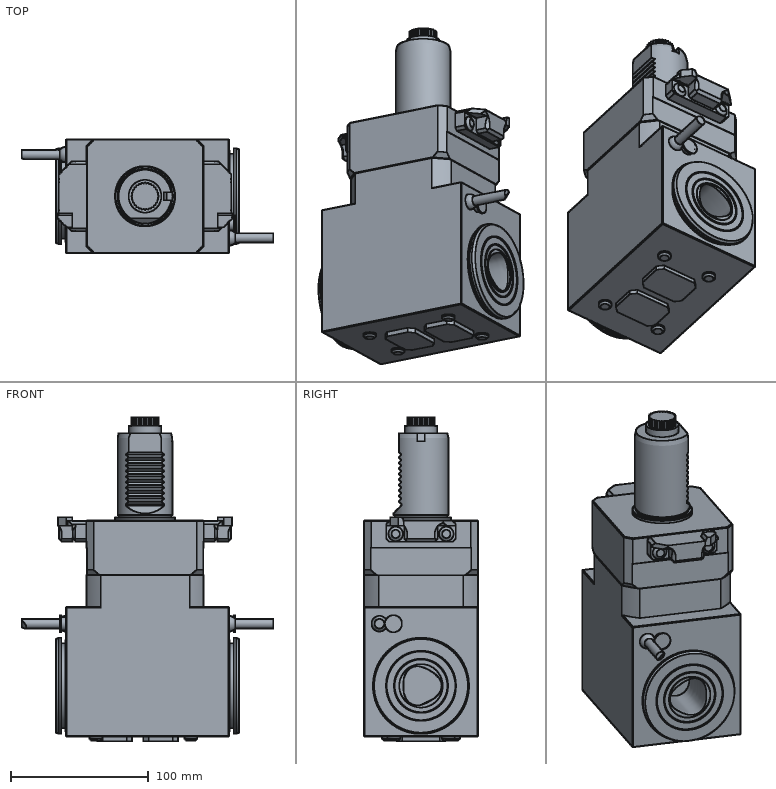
import math
import cadquery as cq


depth = 83.0
body_length = 118.8
body_center_x = 1.8
body_top = -62.9
body_bottom = -157.2
edge_break = 0.6
overlap = 1.2

head_length = 85.2
head_height = 40.0
head_corner = 5.2
head_foot_corner = 9.8
head_foot_break = 0.5
head_foot_height = 4.0
head_relief = 0.3
head_relief_top = -20.0
neck_turned_radius = 52.6

shank_dia = 40.0
shank_top = 63.4
shank_chamfer = (0.8, 3.6)
shank_foot_chamfer = 0.5
flange_dia = 43.9
flange_height = 2.4
undercut_dia = 38.4
undercut_top = 3.6
flat_y = -16.1
tooth_count = 10
tooth_pitch = 4.0
tooth_depth = 1.8
lowest_valley_z = 11.7
runout_top = 10.7
key_width = 5.6
key_floor_x = 15.6
key_ramp = 1.9
key_depth = 6.0

collar_dia = 23.8
collar_top = 68.6
spline_dia = 20.0
spline_root_dia = 18.6
spline_teeth = 28
spline_top = 75.0

spindle_z = -120.2
spindle_neck_dia = 62.0
spindle_neck_length = 3.1
spindle_rim_dia = 70.0
spindle_face_dia = 68.0
spindle_rim_length = 1.8
spindle_length = 7.2
spindle_step = 0.5
spindle_step_dia = 66.0
ring_groove_dias = (51.0, 39.4)
ring_groove_width = 0.6
ring_groove_depth = 0.5
mouth_dia = 31.6
mouth_depth = 0.6
socket_radius = 13.9
socket_lobe_count = 3
socket_lobe = 1.05
socket_depth = 40.0
socket_curve_spans = 60

pipe_span = 183.0
pipe_dia = 7.0
pipe_y = 30.2
pipe_z = -75.1
boss_radius = 5.7
plug_y = 20.0
plug_dia = 12.4
plug_stem_dia = 9.5
plug_height = 4.4
plug_rim = 1.0

clamp_top = -0.5
clamp_bottom = -15.5
clamp_half_width = 25.3
clamp_end_x = 62.5
clamp_chamfer = 2.2
clamp_corner = 7.0
slot_start_x = 50.5
slot_end_x = 52.5
slot_roof_z = -3.2
pocket_y = 12.2
pocket_roof_z = -4.1
screw_y = 18.4
screw_z = -9.9
screw_dia = 10.5
screw_tip_dia = 6.0
lug_start_x = 52.8
lug_end_x = 63.2
lug_near_y = -12.4
lug_far_y = -22.4
lug_corner = 6.0
lug_top = 2.4
lug_slope = 1.4

overall_height = 235.6
foot_height = overall_height - spline_top + body_bottom
foot_size = (25.4, 35.0)
foot_centers_x = (-22.0, 11.3)
foot_corner = 4.0
head_screw_dia = 9.5
head_screw_height = 2.8
head_screw_chamfer = 1.5
head_screw_places = ((-35.7, 23.6), (33.3, 19.8))


def block(x0, x1, y0, y1, z0, z1):
    """Box given by its limits along each axis."""
    return cq.Workplane("XY").box(x1 - x0, y1 - y0, z1 - z0, centered=False).translate((x0, y0, z0))


def disc(dia, z0, z1):
    """Cylinder on the shank axis."""
    return cq.Workplane("XY").workplane(offset=z0).circle(dia / 2).extrude(z1 - z0)


def clipped_rectangle(workplane, length, width, clip):
    """Rectangle with its four corners cut at 45 degrees."""
    a = length / 2
    b = width / 2
    return workplane.polyline([
        (a - clip, -b), (a, -b + clip), (a, b - clip), (a - clip, b),
        (-a + clip, b), (-a, b - clip), (-a, -b + clip), (-a + clip, -b),
    ]).close()


def turned(profile):
    """Solid of revolution about X from (distance along X, radius) points."""
    points = [(profile[0][0], 0)] + profile + [(profile[-1][0], 0)]
    return cq.Workplane("XY").polyline(points).close().revolve(360, (0, 0, 0), (1, 0, 0))


def half_turn(solid):
    """Copy turned half a revolution about the vertical centre line of the housing."""
    return solid.rotate((body_center_x, 0, 0), (body_center_x, 0, 1), 180)


def make_housing():
    body = block(
        body_center_x - body_length / 2, body_center_x + body_length / 2,
        -depth / 2, depth / 2, body_bottom, body_top,
    ).edges().chamfer(edge_break)
    neck_bottom = body_top - overlap
    neck = block(-head_length / 2, head_length / 2, -depth / 2, depth / 2, neck_bottom, -head_height)
    neck = neck.intersect(disc(2 * neck_turned_radius, neck_bottom, -head_height))
    return body.union(neck)


def make_head():
    foot_top = head_foot_height - head_height
    upper = clipped_rectangle(
        cq.Workplane("XY").workplane(offset=foot_top), head_length, depth, head_corner,
    ).extrude(-foot_top)
    upper = upper.faces(">Z").edges().chamfer(edge_break)
    foot = clipped_rectangle(
        cq.Workplane("XY").workplane(offset=-head_height), head_length, depth, head_foot_corner,
    )
    foot = clipped_rectangle(
        foot.workplane(offset=head_foot_height), head_length, depth, head_corner,
    ).loft(ruled=True)
    foot = foot.faces("<Z").edges().chamfer(head_foot_break)
    head = upper.union(foot)
    side = head_length / 2
    for x0 in (-side, side - head_relief):
        head = head.cut(block(x0, x0 + head_relief, -depth / 2, depth / 2, -head_height, head_relief_top))
    return head


def make_shank():
    radius = shank_dia / 2
    inset, drop = shank_chamfer
    shank = disc(shank_dia, undercut_top, shank_top)
    shank = shank.faces(">Z").chamfer(drop, inset)
    shank = shank.faces("<Z").chamfer(shank_foot_chamfer)

    valley_y = flat_y + tooth_depth
    clear_y = -radius - overlap
    outline = [(clear_y, shank_top), (flat_y, shank_top)]
    for i in reversed(range(tooth_count)):
        valley_z = lowest_valley_z + i * tooth_pitch
        outline.append((flat_y, valley_z + tooth_depth))
        outline.append((valley_y, valley_z))
        if i > 0:
            outline.append((flat_y, valley_z - tooth_depth))
    outline.append((valley_y, runout_top))
    outline.append((clear_y, runout_top + clear_y - valley_y))
    flat = cq.Workplane("YZ").polyline(outline).close().extrude(radius, both=True)
    shank = shank.cut(flat)

    keyway = cq.Workplane("XZ").polyline([
        (key_floor_x - key_ramp, shank_top),
        (key_floor_x, shank_top - key_depth),
        (radius, shank_top - key_depth),
        (radius, shank_top),
    ]).close().extrude(key_width / 2, both=True)
    shank = shank.cut(keyway)

    flange = disc(flange_dia, 0, flange_height).faces(">Z").edges().chamfer(edge_break)
    return shank.union(disc(undercut_dia, 0, undercut_top)).union(flange)


def make_spline():
    points = []
    for i in range(2 * spline_teeth):
        radius = (spline_dia if i % 2 == 0 else spline_root_dia) / 2
        angle = math.pi * i / spline_teeth
        points.append((radius * math.cos(angle), radius * math.sin(angle)))
    spline = cq.Workplane("XY").workplane(offset=collar_top).polyline(points).close()
    spline = spline.extrude(spline_top - collar_top)
    return disc(collar_dia, shank_top, collar_top).union(spline)


def socket_point(t):
    """Point on the lobed outline of the tool socket, with one lobe along +Y."""
    angle = 2 * math.pi * t
    radius = socket_radius + socket_lobe * math.cos(socket_lobe_count * angle)
    return radius * math.cos(angle), radius * math.sin(angle)


def make_spindle():
    """Spindle nose and its socket, as they lie on the +X side of the housing."""
    face_x = body_center_x + body_length / 2
    rim_start = spindle_neck_length
    rim_end = rim_start + spindle_rim_length
    nose = turned([
        (-overlap, spindle_step_dia / 2),
        (spindle_step, spindle_step_dia / 2),
        (spindle_step, spindle_neck_dia / 2),
        (rim_start, spindle_neck_dia / 2),
        (rim_start, spindle_rim_dia / 2),
        (rim_end, spindle_rim_dia / 2),
        (spindle_length, spindle_face_dia / 2),
    ])
    face = cq.Workplane("YZ").workplane(offset=spindle_length)
    for dia in ring_groove_dias:
        inner_radius = dia / 2 - ring_groove_width
        nose = nose.cut(face.circle(dia / 2).circle(inner_radius).extrude(-ring_groove_depth))
    nose = nose.cut(face.circle(mouth_dia / 2).extrude(-mouth_depth))
    outline = face.parametricCurve(lambda t: socket_point(t) + (0,), N=socket_curve_spans)
    socket = outline.extrude(-socket_depth)
    place = (face_x, 0, spindle_z)
    return nose.translate(place), socket.translate(place)


def make_pipe():
    """Coolant pipe with its ball boss and the neighbouring plug on the +X side."""
    face_x = body_center_x + body_length / 2
    boss = cq.Workplane("XY").sphere(boss_radius)
    pipe_length = pipe_span / 2 - body_length / 2
    pipe = turned([(0, pipe_dia / 2), (pipe_length, pipe_dia / 2)])
    plug = turned([
        (-overlap, plug_stem_dia / 2),
        (plug_height - plug_rim, plug_stem_dia / 2),
        (plug_height - plug_rim, plug_dia / 2),
        (plug_height, plug_dia / 2),
    ])
    fitting = boss.union(pipe).translate((face_x, -pipe_y, pipe_z))
    return fitting.union(plug.translate((face_x, -plug_y, pipe_z)))


def bevel_pipe_end(solid):
    """Cut the lower front half of the pipe tip on the -X side at a slant."""
    tip = (body_center_x - pipe_span / 2, pipe_y, pipe_z)
    slant = cq.Plane(origin=tip, xDir=(0, 1, -1), normal=(-math.sqrt(2), -1, -1))
    return solid.cut(cq.Workplane(slant).rect(2 * pipe_dia, 2 * pipe_dia).extrude(pipe_dia))


def make_clamp():
    """Clamp block on the +X side of the head, with two screws and a raised lug."""
    width = 2 * clamp_half_width
    height = clamp_top - clamp_bottom
    start_x = head_length / 2 - overlap
    flare_start_x = clamp_end_x - clamp_chamfer
    clamp = clipped_rectangle(
        cq.Workplane("YZ", origin=(start_x, 0, (clamp_top + clamp_bottom) / 2)),
        width, height, clamp_chamfer,
    ).extrude(clamp_end_x - start_x)
    clamp = clamp.faces(">X").edges("<Z").chamfer(clamp_chamfer)

    outline = [
        (start_x, -clamp_half_width),
        (clamp_end_x - clamp_corner - clamp_chamfer, -clamp_half_width),
        (clamp_end_x, -clamp_half_width + clamp_corner + clamp_chamfer),
    ]
    outline += [(x, -y) for x, y in reversed(outline)]
    clamp = clamp.intersect(
        cq.Workplane("XY").workplane(offset=clamp_bottom).polyline(outline).close().extrude(height)
    )
    clamp = clamp.cut(
        block(slot_start_x, slot_end_x, -clamp_half_width, clamp_half_width, clamp_bottom, slot_roof_z)
    )

    for side in (-1, 1):
        pocket = cq.Workplane("YZ").workplane(offset=slot_end_x).polyline([
            (side * clamp_half_width, clamp_bottom),
            (side * (pocket_y - clamp_chamfer), clamp_bottom),
            (side * pocket_y, clamp_bottom + clamp_chamfer),
            (side * pocket_y, pocket_roof_z),
            (side * clamp_half_width, pocket_roof_z),
        ]).close().extrude(clamp_end_x - slot_end_x)
        clamp = clamp.cut(pocket)
        flare = cq.Workplane("XY").workplane(offset=clamp_bottom).polyline([
            (flare_start_x, side * pocket_y),
            (clamp_end_x, side * (pocket_y - clamp_chamfer)),
            (clamp_end_x, side * pocket_y),
        ]).close().extrude(screw_z - clamp_bottom)
        cone = turned([
            (flare_start_x, screw_y - pocket_y),
            (clamp_end_x, screw_y - pocket_y + clamp_chamfer),
        ]).translate((0, side * screw_y, screw_z))
        clamp = clamp.cut(flare).cut(cone)
        screw = turned([
            (start_x - slot_start_x, screw_dia / 2),
            (0, screw_dia / 2),
            (slot_end_x - slot_start_x, screw_tip_dia / 2),
        ])
        clamp = clamp.union(screw.translate((slot_start_x, side * screw_y, screw_z)))

    lug = cq.Workplane("YZ", origin=(lug_start_x, 0, 0)).polyline([
        (lug_near_y, clamp_top),
        (lug_near_y - lug_slope, lug_top),
        (lug_far_y, lug_top),
        (lug_far_y, pocket_roof_z),
        (lug_near_y, pocket_roof_z),
    ]).close().extrude(lug_end_x - lug_start_x)
    return clamp.union(lug.edges(">X and <Y").chamfer(lug_corner))


def make_underside():
    feet = cq.Workplane("XY")
    for x in foot_centers_x:
        plane = cq.Workplane("XY", origin=(x, 0, body_bottom))
        feet = feet.add(clipped_rectangle(plane, *foot_size, foot_corner).extrude(-foot_height))
    for x, y in head_screw_places:
        for side in (-1, 1):
            plane = cq.Workplane("XY", origin=(x, side * y, body_bottom))
            screw = plane.circle(head_screw_dia / 2).extrude(-head_screw_height)
            feet = feet.add(screw.faces("<Z").edges().chamfer(head_screw_chamfer))
    return feet.vals()


result = make_housing().union(make_head()).union(make_shank()).union(make_spline())

spindle, tool_socket = make_spindle()
housing_center = (body_center_x, 0, 0)
result = result.union(spindle).union(spindle.mirror("YZ", housing_center))
result = result.cut(tool_socket).cut(tool_socket.mirror("YZ", housing_center))

pipe_fitting = make_pipe()
result = result.union(pipe_fitting).union(half_turn(pipe_fitting))
result = bevel_pipe_end(result)

clamp_block = make_clamp()
result = result.union(clamp_block).union(clamp_block.mirror("YZ"))

for foot in make_underside():
    result = result.union(cq.Workplane(foot))